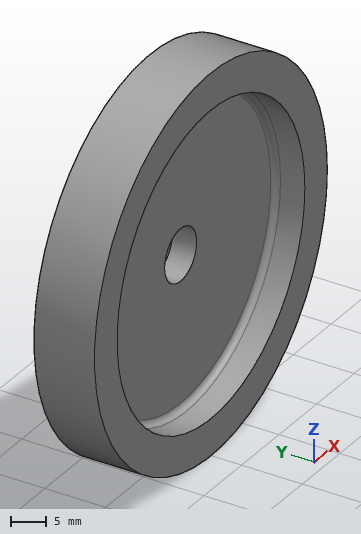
import cadquery as cq

outer_diameter = 62.0
thickness = 10.0

rim_width = 6.0
recess_diameter = outer_diameter - 2 * rim_width
recess_depth = thickness / 2
floor_fillet = 1.0

bore_diameter = 8.5
bore_chamfer = 1.0


def cylinder_from_front(diameter, length):
    """Cylinder along Y that starts on the -Y face and runs toward +Y."""
    front_plane = cq.Workplane("XZ", origin=(0, -thickness / 2, 0))
    return front_plane.circle(diameter / 2).extrude(-length)


disc = cylinder_from_front(outer_diameter, thickness)

recess = cylinder_from_front(recess_diameter, recess_depth).edges(">Y").fillet(floor_fillet)

bore = cylinder_from_front(bore_diameter, thickness)

back_plane = cq.Workplane("XZ", origin=(0, thickness / 2, 0))
countersink = back_plane.circle(bore_diameter / 2 + bore_chamfer).extrude(bore_chamfer, taper=45)

result = disc.cut(recess).cut(bore).cut(countersink)